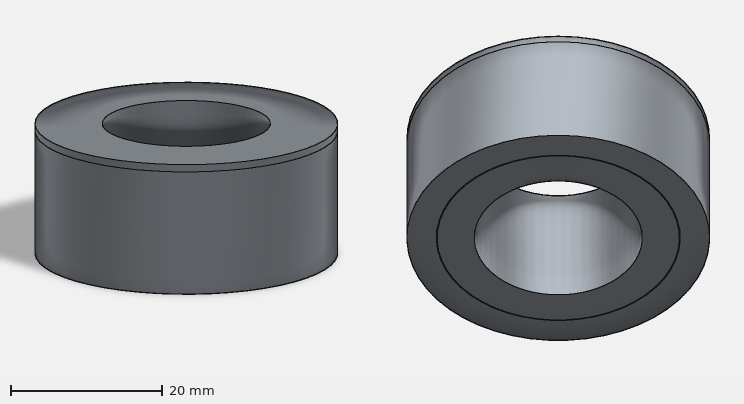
import cadquery as cq

outer_diameter = 40.0
bore_diameter = 22.2
sleeve_diameter = 32.0
ring_bore_diameter = 32.2
total_height = 17.8
flange_thickness = 1.0

ring_height = total_height - flange_thickness


def make_tube(outside, inside, base_z, height):
    """Tube around the Z axis with the given diameters, standing on base_z."""
    return (
        cq.Workplane("XY", origin=(0, 0, base_z))
        .circle(outside / 2)
        .circle(inside / 2)
        .extrude(height)
    )


def make_outer_ring():
    """Plain ring that surrounds the sleeve and carries the flange."""
    return make_tube(outer_diameter, ring_bore_diameter, 0, ring_height)


def make_flanged_bushing():
    """Full-height sleeve with a thin flange at the top, flush with the ring outside."""
    sleeve = make_tube(sleeve_diameter, bore_diameter, 0, total_height)
    flange = make_tube(outer_diameter, bore_diameter, ring_height, flange_thickness)
    return sleeve.union(flange)


outer_ring = make_outer_ring()
flanged_bushing = make_flanged_bushing()

result = cq.Compound.makeCompound([outer_ring.val(), flanged_bushing.val()])